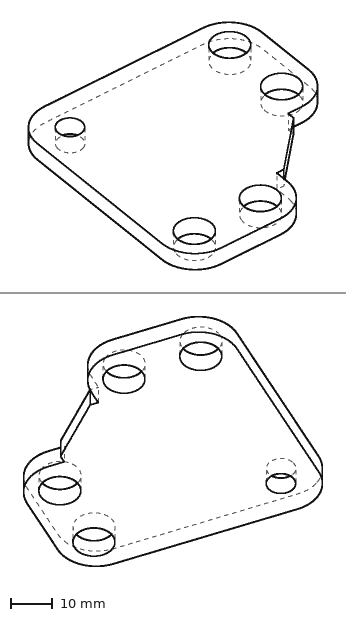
import cadquery as cq

side = 68.15
thickness = 5.0
corner_radius = 10.0

tab_width = 38.0
notch_depth = 14.1
step_length = 2.1

mount_diameter = 10.0
mount_edge_distance = 9.0
mount_spacing = 20.0
small_diameter = 7.0
small_edge_distance = 9.95


def make_plate():
    """Plate outline with the stepped corner, extruded and rounded at its five outer corners."""
    shoulder = side - notch_depth
    chamfer_start = tab_width + step_length
    plate = (
        cq.Workplane("XY")
        .moveTo(0, 0)
        .lineTo(side, 0)
        .lineTo(side, tab_width)
        .lineTo(shoulder, tab_width)
        .lineTo(shoulder, chamfer_start)
        .lineTo(chamfer_start, shoulder)
        .lineTo(tab_width, shoulder)
        .lineTo(tab_width, side)
        .lineTo(0, side)
        .close()
        .extrude(thickness)
    )
    outer_corners = [(0, 0), (side, 0), (side, tab_width), (tab_width, side), (0, side)]
    for x, y in outer_corners:
        corner_edge = cq.selectors.NearestToPointSelector((x, y, thickness / 2))
        plate = plate.edges("|Z").edges(corner_edge).fillet(corner_radius)
    return plate


def through_holes(diameter, centers):
    """Cylinders that pass through the whole thickness."""
    return cq.Workplane("XY").pushPoints(centers).circle(diameter / 2).extrude(thickness)


far_line = side - mount_edge_distance
mount_centers = []
for along in (mount_edge_distance, mount_edge_distance + mount_spacing):
    mount_centers.append((along, far_line))
    mount_centers.append((far_line, along))

small_centers = [(small_edge_distance, small_edge_distance)]

result = (
    make_plate()
    .cut(through_holes(mount_diameter, mount_centers))
    .cut(through_holes(small_diameter, small_centers))
)